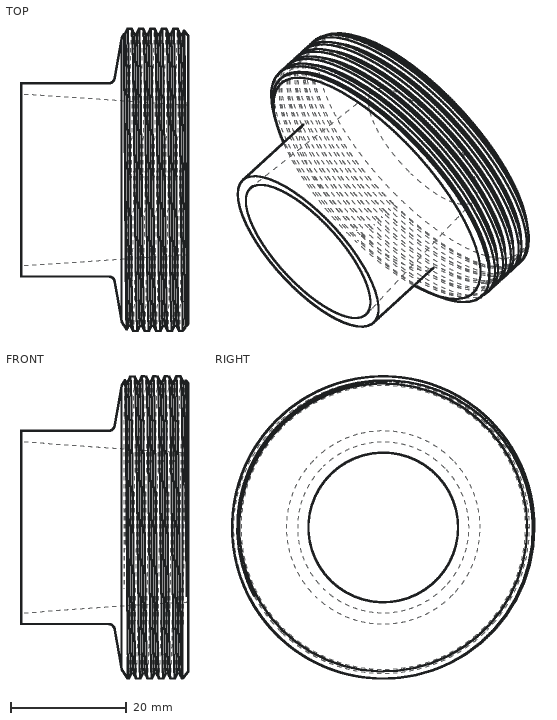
import cadquery as cq
import math

length = 29.0
thread_radius = 26.2

spigot_radius = 16.8
spigot_end = 15.2
fillet_radius = 1.0
cone_angle = math.radians(10)
cone_outer_radius = 24.65

thread_start = 18.45
end_chamfer_length = 1.0
end_chamfer_depth = 1.25

mouth_radius = 14.85
mouth_depth = 1.05
throat_radius = 12.95

pitch = 2.0
thread_depth = 0.9
crest_width = 0.75
root_width = 0.4
groove_start = 17.3
groove_turns = 6
groove_clearance = 0.25


def fillet_point(angle):
    """Point on the spigot fillet, turned by angle from its tangent point on the spigot."""
    return (
        spigot_end + fillet_radius * math.sin(angle),
        spigot_radius + fillet_radius * (1 - math.cos(angle)),
    )


def turned_body():
    fillet_sweep = math.pi / 2 - cone_angle
    cone_start, cone_inner_radius = fillet_point(fillet_sweep)
    cone_end = cone_start + (cone_outer_radius - cone_inner_radius) * math.tan(cone_angle)
    profile = (
        cq.Workplane("XY")
        .moveTo(0, mouth_radius)
        .lineTo(0, spigot_radius)
        .lineTo(spigot_end, spigot_radius)
        .threePointArc(fillet_point(fillet_sweep / 2), (cone_start, cone_inner_radius))
        .lineTo(cone_end, cone_outer_radius)
        .lineTo(thread_start, thread_radius)
        .lineTo(length - end_chamfer_length, thread_radius)
        .lineTo(length, thread_radius - end_chamfer_depth)
        .lineTo(length, throat_radius)
        .lineTo(mouth_depth, mouth_radius)
        .close()
    )
    return profile.revolve(360, (0, 0, 0), (1, 0, 0))


def groove_turn():
    """One turn of the helical cutter, with ruled flanks, wound about Z and then laid along X."""
    root_radius = thread_radius - thread_depth
    flank_slope = (pitch - crest_width - root_width) / 2 / thread_depth
    root_half = root_width / 2
    top_half = root_half + flank_slope * (thread_depth + groove_clearance)
    top_radius = thread_radius + groove_clearance
    section = [
        (root_radius, -root_half),
        (top_radius, -top_half),
        (top_radius, top_half),
        (root_radius, root_half),
    ]
    helices = [
        cq.Wire.makeHelix(pitch, pitch, radius).translate(cq.Vector(0, 0, offset))
        for radius, offset in section
    ]
    sides = [
        cq.Face.makeRuledSurface(helices[i - 1], helices[i]).Faces()[0]
        for i in range(len(helices))
    ]
    ends = []
    for end in (0, 1):
        corners = [helix.positionAt(end) for helix in helices]
        ends.append(cq.Face.makeFromWires(cq.Wire.makePolygon(corners, close=True)))
    groove = cq.Solid.makeSolid(cq.Shell.makeShell(sides + ends))
    return cq.Workplane(obj=groove.fix()).rotate((0, 0, 0), (0, 1, 0), 90).translate((groove_start, 0, 0))


def threaded_body():
    body = turned_body()
    turn = groove_turn()
    for index in range(groove_turns):
        body = body.cut(turn.translate((index * pitch, 0, 0)))
    return body


result = threaded_body()